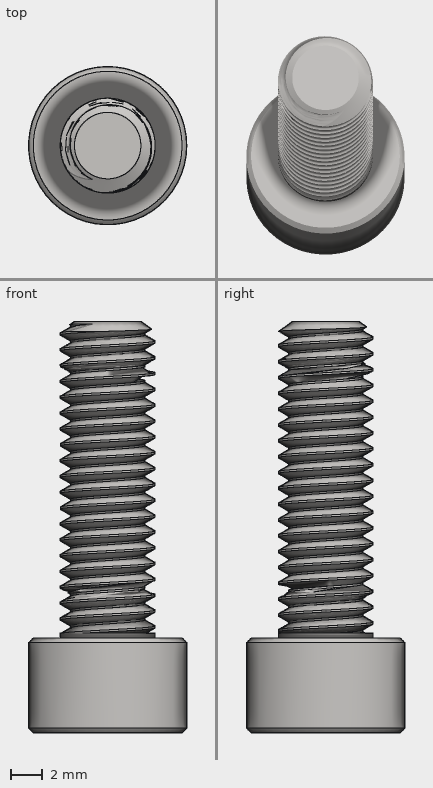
import cadquery as cq
import math


head_radius = 5.0
head_height = 6.0
head_chamfer = 0.3

thread_radius = 3.0
shank_length = 20.0
pitch = 1.0
collar_height = 0.3
tip_radius = 2.1
first_crest_height = 0.7

flank_slope = math.tan(math.radians(30))
flat_width = pitch / 8
thread_depth = (pitch - 2 * flat_width) / 2 / flank_slope
root_radius = thread_radius - thread_depth

radial_overshoot = 0.1
turns_below_first_crest = 1.5
extra_turns = 3
helix_length = shank_length + extra_turns * pitch

total_height = head_height + shank_length
thread_start = head_height + collar_height


def make_blank():
    """Head and plain shank; the lead-in cone at the tip is one thread depth tall."""
    return (
        cq.Workplane("XZ")
        .moveTo(0, 0)
        .lineTo(head_radius - head_chamfer, 0)
        .lineTo(head_radius, head_chamfer)
        .lineTo(head_radius, head_height - head_chamfer)
        .lineTo(head_radius - head_chamfer, head_height)
        .lineTo(thread_radius, head_height)
        .lineTo(thread_radius, total_height - thread_depth)
        .lineTo(tip_radius, total_height)
        .lineTo(0, total_height)
        .close()
        .revolve(360, (0, 0, 0), (0, 1, 0))
    )


def make_groove():
    """Right-hand helical groove, cut off flat at the top of the collar."""
    outer_radius = thread_radius + radial_overshoot
    root_half_width = flat_width / 2
    outer_half_width = root_half_width + (outer_radius - root_radius) * flank_slope
    helix = cq.Wire.makeHelix(pitch, helix_length, root_radius)
    groove = (
        cq.Workplane("XZ")
        .moveTo(root_radius, -root_half_width)
        .lineTo(outer_radius, -outer_half_width)
        .lineTo(outer_radius, outer_half_width)
        .lineTo(root_radius, root_half_width)
        .close()
        .sweep(cq.Workplane(obj=helix), isFrenet=True)
        .translate((0, 0, head_height + first_crest_height - turns_below_first_crest * pitch))
    )
    threaded_zone = (
        cq.Workplane("XY")
        .workplane(offset=thread_start)
        .circle(2 * thread_radius)
        .extrude(helix_length)
    )
    return groove.intersect(threaded_zone)


result = make_blank().cut(make_groove())